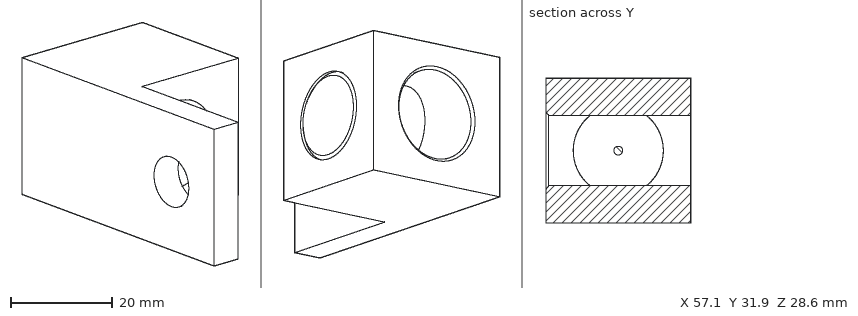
import cadquery as cq
import math

total_length = 57.15
height = 28.6
block_length = total_length / 2
block_depth = 31.8
tongue_thickness = 6.35

mount_hole_diameter = 10.35
mount_hole_x = 44.45

bore_diameter = 18.1
bore_chamfer = 0.6

screw_diameter = 17.8
screw_radius = screw_diameter / 2
screw_protrusion = 0.1
screw_end_chamfer = 0.85
cone_base_y = 14.6
cone_half_angle = math.radians(60)
tip_radius = 2.5

mid_z = height / 2
bore_y = block_depth / 2
screw_x = block_length / 2


def make_housing():
    """L-shaped block with the mounting hole, wire bore and screw hole."""
    body = (
        cq.Workplane("XY")
        .moveTo(0, 0)
        .lineTo(total_length, 0)
        .lineTo(total_length, tongue_thickness)
        .lineTo(block_length, tongue_thickness)
        .lineTo(block_length, block_depth)
        .lineTo(0, block_depth)
        .close()
        .extrude(height)
    )

    mount_hole = (
        cq.Workplane("XZ")
        .center(mount_hole_x, mid_z)
        .circle(mount_hole_diameter / 2)
        .extrude(-tongue_thickness)
    )

    bore_section = cq.Workplane("YZ").center(bore_y, mid_z)
    bore = bore_section.circle(bore_diameter / 2).extrude(block_length)
    bore_mouth = cq.Workplane(
        cq.Solid.makeCone(
            bore_diameter / 2 + bore_chamfer,
            bore_diameter / 2,
            bore_chamfer,
            pnt=cq.Vector(0, bore_y, mid_z),
            dir=cq.Vector(1, 0, 0),
        )
    )

    screw_hole = (
        cq.Workplane("XZ", origin=(screw_x, bore_y, mid_z))
        .circle(screw_radius)
        .extrude(bore_y - block_depth)
    )

    return body.cut(mount_hole).cut(bore).cut(bore_mouth).cut(screw_hole)


def make_screw():
    """Revolved screw whose spherical tip is tangent to its cone."""
    end_y = block_depth + screw_protrusion
    apex_y = cone_base_y - screw_radius / math.tan(cone_half_angle)
    tip_center_y = apex_y + tip_radius / math.sin(cone_half_angle)
    tip_y = tip_center_y - tip_radius

    tangent_angle = math.pi / 2 - cone_half_angle

    def tip_point(angle):
        return (
            tip_radius * math.sin(angle),
            tip_center_y - tip_radius * math.cos(angle),
        )

    return (
        cq.Workplane("XY", origin=(screw_x, 0, mid_z))
        .moveTo(0, tip_y)
        .threePointArc(tip_point(tangent_angle / 2), tip_point(tangent_angle))
        .lineTo(screw_radius, cone_base_y)
        .lineTo(screw_radius, end_y - screw_end_chamfer)
        .lineTo(screw_radius - screw_end_chamfer, end_y)
        .lineTo(0, end_y)
        .close()
        .revolve(360, (0, 0, 0), (0, 1, 0))
    )


housing = make_housing()
screw = make_screw()

result = cq.Compound.makeCompound([housing.val(), screw.val()])